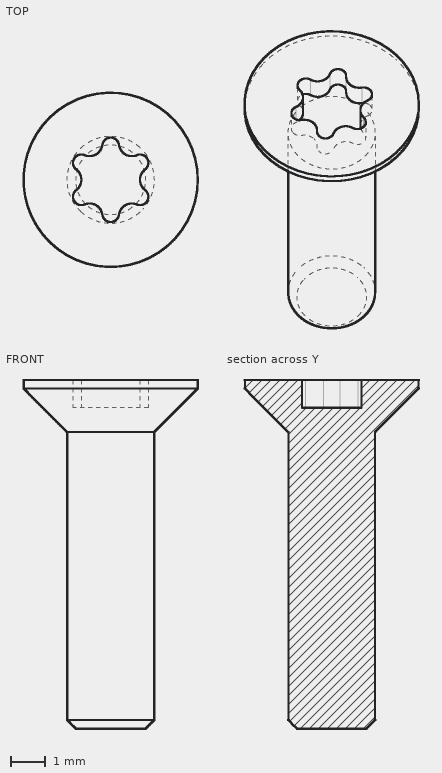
import cadquery as cq
import math


length = 10.0
head_diameter = 5.0
shank_diameter = 2.5

rim_height = 0.25

tip_chamfer = 0.25

lobe_count = 6
socket_outer_diameter = 2.42
socket_inner_diameter = 1.68
lobe_radius = 0.24
socket_depth = 0.8


def polar_point(radius, angle):
    """Point in the XY plane at a radius and an angle in radians."""
    return (radius * math.cos(angle), radius * math.sin(angle))


def make_body():
    """Revolve the half profile of the head and shank around the Z axis."""
    head_radius = head_diameter / 2
    shank_radius = shank_diameter / 2
    head_height = rim_height + head_radius - shank_radius
    half_profile = [
        (0, 0),
        (head_radius, 0),
        (head_radius, -rim_height),
        (shank_radius, -head_height),
        (shank_radius, -length + tip_chamfer),
        (shank_radius - tip_chamfer, -length),
        (0, -length),
    ]
    return cq.Workplane("XZ").polyline(half_profile).close().revolve(360, (0, 0), (0, 1))


def make_socket():
    """Prism of alternating convex lobes and concave flutes, all arcs tangent."""
    half_pitch = math.pi / lobe_count
    tip_radius = socket_outer_diameter / 2
    waist_radius = socket_inner_diameter / 2
    lobe_center_radius = tip_radius - lobe_radius

    projection = lobe_center_radius * math.cos(half_pitch)
    flute_radius = (
        lobe_center_radius**2 + waist_radius**2 - lobe_radius**2 - 2 * waist_radius * projection
    ) / (2 * (lobe_radius - waist_radius + projection))
    flute_center_radius = waist_radius + flute_radius

    flute_x, flute_y = polar_point(flute_center_radius, half_pitch)
    share = lobe_radius / (lobe_radius + flute_radius)
    tangent_x = lobe_center_radius + share * (flute_x - lobe_center_radius)
    tangent_y = share * flute_y
    tangent_radius = math.hypot(tangent_x, tangent_y)
    tangent_angle = math.atan2(tangent_y, tangent_x)

    first_lobe_angle = math.pi / 2
    outline = cq.Workplane("XY").moveTo(*polar_point(tangent_radius, first_lobe_angle - tangent_angle))
    for index in range(lobe_count):
        lobe_angle = first_lobe_angle + 2 * half_pitch * index
        next_lobe_angle = lobe_angle + 2 * half_pitch
        outline = outline.threePointArc(
            polar_point(tip_radius, lobe_angle),
            polar_point(tangent_radius, lobe_angle + tangent_angle),
        )
        outline = outline.threePointArc(
            polar_point(waist_radius, lobe_angle + half_pitch),
            polar_point(tangent_radius, next_lobe_angle - tangent_angle),
        )
    return outline.close().extrude(-socket_depth)


result = make_body().cut(make_socket())